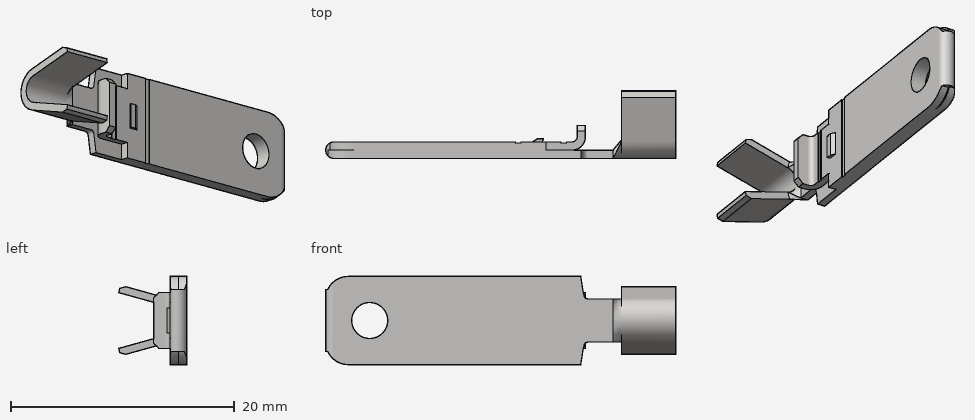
import cadquery as cq
import math

SHEET = 0.75
STACK = 2 * SHEET
LENGTH = 31.34
HALF_WIDTH = 7.92 / 2

FOLD_HALF_WIDTH = 2.79
FRONT_CORNER_RADIUS = 2.05
REAR_CORNER_RADIUS = 2.5

HOLE_X = 3.95
HOLE_DIAMETER = 3.2

FRONT_SHOULDER_X = 22.83
SHOULDER_TAPER = math.radians(9)
SHOULDER_FILLET = 0.4
NECK_HALF_WIDTH = 1.94
NECK_END_X = 25.7
CRIMP_START_X = 26.45

REAR_SHOULDER_X = 19.7
TAB_HALF_WIDTH = 2.52
TAB_END_X = 23.25
TAB_TOP_Y = 2.98
TAB_BEND_INNER_RADIUS = 0.45
TAB_CHAMFER = 0.5

GROOVE_STARTS_X = (16.97, 21.05)
GROOVE_WIDTH = 0.5
GROOVE_DEPTH = 0.1
BARB_START_X = 18.5
BARB_CREST_X = 18.95
BARB_END_X = 19.5
BARB_HEIGHT = 0.28
BARB_UNDERCUT = 0.1
BARB_HALF_WIDTH = 1.1

CRIMP_RADIUS = 2.0
CRIMP_THICKNESS = 0.7
WING_ANGLE = math.radians(15.5)
WING_TIP_Y = 6.1
WING_BEVEL_Y = 5.47
WING_END_INSET = 0.08
WING_END_WIDTH = 0.39


def extrude_across(profile):
    """Extrude an XY profile symmetrically over the full blade width."""
    return profile.extrude(HALF_WIDTH, both=True)


def leaf_outline(corner_radius, right_points):
    """XZ outline of a leaf with rounded corners that run into the narrower fold strip.

    right_points lists the upper right-hand outline from left to right; it is mirrored below.
    """
    arc_z = HALF_WIDTH - corner_radius
    fold_x = corner_radius - math.sqrt(corner_radius**2 - (FOLD_HALF_WIDTH - arc_z) ** 2)
    start_angle = math.atan2(FOLD_HALF_WIDTH - arc_z, fold_x - corner_radius)
    mid_angle = (start_angle + math.pi / 2) / 2
    mid_x = corner_radius * (1 + math.cos(mid_angle))
    mid_z = arc_z + corner_radius * math.sin(mid_angle)

    outline = cq.Workplane("XZ").moveTo(0, FOLD_HALF_WIDTH).lineTo(fold_x, FOLD_HALF_WIDTH)
    outline = outline.threePointArc((mid_x, mid_z), (corner_radius, HALF_WIDTH))
    for x, z in right_points:
        outline = outline.lineTo(x, z)
    for x, z in reversed(right_points):
        outline = outline.lineTo(x, -z)
    outline = outline.lineTo(corner_radius, -HALF_WIDTH)
    outline = outline.threePointArc((mid_x, -mid_z), (fold_x, -FOLD_HALF_WIDTH))
    return outline.lineTo(0, -FOLD_HALF_WIDTH).close().extrude(-TAB_TOP_Y)


def front_leaf():
    """Front leaf with half of the fold, tapered shoulders and the neck."""
    neck_corner_x = FRONT_SHOULDER_X + (HALF_WIDTH - NECK_HALF_WIDTH) * math.tan(SHOULDER_TAPER)
    profile = (
        cq.Workplane("XY")
        .moveTo(0, SHEET)
        .radiusArc((SHEET, 0), -SHEET)
        .lineTo(NECK_END_X, 0)
        .lineTo(NECK_END_X, SHEET)
        .close()
    )
    outline = leaf_outline(
        FRONT_CORNER_RADIUS,
        [
            (FRONT_SHOULDER_X, HALF_WIDTH),
            (neck_corner_x, NECK_HALF_WIDTH),
            (NECK_END_X, NECK_HALF_WIDTH),
        ],
    )
    leaf = extrude_across(profile).intersect(outline)
    for side in (-1, 1):
        corner = cq.selectors.NearestToPointSelector((neck_corner_x, SHEET / 2, side * NECK_HALF_WIDTH))
        leaf = leaf.edges("|Y").edges(corner).fillet(SHOULDER_FILLET)
    return leaf


def rear_leaf():
    """Rear leaf with the other half of the fold and the upturned end tab."""
    outer_radius = TAB_BEND_INNER_RADIUS + SHEET
    tab_inner_x = TAB_END_X - SHEET
    bend_x = TAB_END_X - outer_radius
    profile = (
        cq.Workplane("XY")
        .moveTo(0, SHEET)
        .lineTo(bend_x, SHEET)
        .radiusArc((TAB_END_X, SHEET + outer_radius), -outer_radius)
        .lineTo(TAB_END_X, TAB_TOP_Y)
        .lineTo(tab_inner_x, TAB_TOP_Y)
        .lineTo(tab_inner_x, STACK + TAB_BEND_INNER_RADIUS)
        .radiusArc((bend_x, STACK), TAB_BEND_INNER_RADIUS)
        .lineTo(SHEET, STACK)
        .radiusArc((0, SHEET), -SHEET)
        .close()
    )
    outline = leaf_outline(
        REAR_CORNER_RADIUS,
        [
            (REAR_SHOULDER_X, HALF_WIDTH),
            (REAR_SHOULDER_X, TAB_HALF_WIDTH),
            (TAB_END_X, TAB_HALF_WIDTH),
        ],
    )
    leaf = extrude_across(profile).intersect(outline)
    leaf = leaf.faces(">Y").edges("|X").chamfer(TAB_CHAMFER)
    for start_x in GROOVE_STARTS_X:
        leaf = leaf.cut(rear_groove(start_x))
    return leaf


def rear_groove(start_x):
    """Cutter for a shallow groove across the rear face."""
    profile = cq.Workplane("XY").moveTo(start_x, STACK - GROOVE_DEPTH)
    return extrude_across(profile.rect(GROOVE_WIDTH, GROOVE_DEPTH, centered=False))


def barb():
    """Ramped locking barb standing on the rear face."""
    crest_y = STACK + BARB_HEIGHT
    profile = cq.Workplane("XY").polyline(
        [
            (BARB_START_X, STACK),
            (BARB_CREST_X, crest_y),
            (BARB_END_X, crest_y),
            (BARB_END_X - BARB_UNDERCUT, STACK),
        ]
    )
    return profile.close().extrude(BARB_HALF_WIDTH, both=True)


def barrel_point(radius, side):
    """YZ point where an arc about the barrel axis runs tangentially into a wing."""
    y = CRIMP_RADIUS - radius * math.sin(WING_ANGLE)
    return y, side * radius * math.cos(WING_ANGLE)


def wing_point(radius, y, side):
    """YZ point at height y on the wing surface that continues the arc of the given radius."""
    root_y, root_z = barrel_point(radius, 1)
    return y, side * (root_z + (y - root_y) * math.tan(WING_ANGLE))


def crimp():
    """Crimp barrel: round bottom with two leaning, bevelled wings."""
    inner = CRIMP_RADIUS - CRIMP_THICKNESS
    tip_y, tip_z = wing_point(inner, WING_TIP_Y, 1)
    end_y = tip_y - WING_END_INSET
    end_z = tip_z + WING_END_WIDTH
    profile = (
        cq.Workplane("YZ", origin=(CRIMP_START_X, 0, 0))
        .moveTo(*barrel_point(CRIMP_RADIUS, -1))
        .threePointArc((0, 0), barrel_point(CRIMP_RADIUS, 1))
        .lineTo(*wing_point(CRIMP_RADIUS, WING_BEVEL_Y, 1))
        .lineTo(end_y, end_z)
        .lineTo(tip_y, tip_z)
        .lineTo(*barrel_point(inner, 1))
        .threePointArc((CRIMP_THICKNESS, 0), barrel_point(inner, -1))
        .lineTo(tip_y, -tip_z)
        .lineTo(end_y, -end_z)
        .lineTo(*wing_point(CRIMP_RADIUS, WING_BEVEL_Y, -1))
        .close()
    )
    return profile.extrude(LENGTH - CRIMP_START_X)


def half_way_point(radius):
    """YZ point midway along the upper half of the barrel arc of the given radius."""
    angle = (math.pi / 2 + WING_ANGLE) / 2
    return CRIMP_RADIUS - radius * math.sin(angle), radius * math.cos(angle)


def neck_transition():
    """Ruled transition from the flat neck to the round bottom of the crimp barrel.

    The upper half is lofted and then mirrored.
    """
    inner = CRIMP_RADIUS - CRIMP_THICKNESS
    upper_half = (
        cq.Workplane("YZ", origin=(NECK_END_X, 0, 0))
        .lineTo(0, NECK_HALF_WIDTH)
        .lineTo(SHEET, NECK_HALF_WIDTH)
        .lineTo(SHEET, 0)
        .close()
        .workplane(offset=CRIMP_START_X - NECK_END_X)
        .threePointArc(half_way_point(CRIMP_RADIUS), barrel_point(CRIMP_RADIUS, 1))
        .lineTo(*barrel_point(inner, 1))
        .threePointArc(half_way_point(inner), (CRIMP_THICKNESS, 0))
        .close()
        .loft(ruled=True)
    )
    return upper_half.union(upper_half.mirror("XY"))


def through_hole():
    """Cutter for the round hole through both leaves."""
    return cq.Workplane("XZ").center(HOLE_X, 0).circle(HOLE_DIAMETER / 2).extrude(-STACK)


result = front_leaf().cut(through_hole())
for feature in (rear_leaf().cut(through_hole()), barb(), neck_transition(), crimp()):
    result = result.union(feature, clean=False)